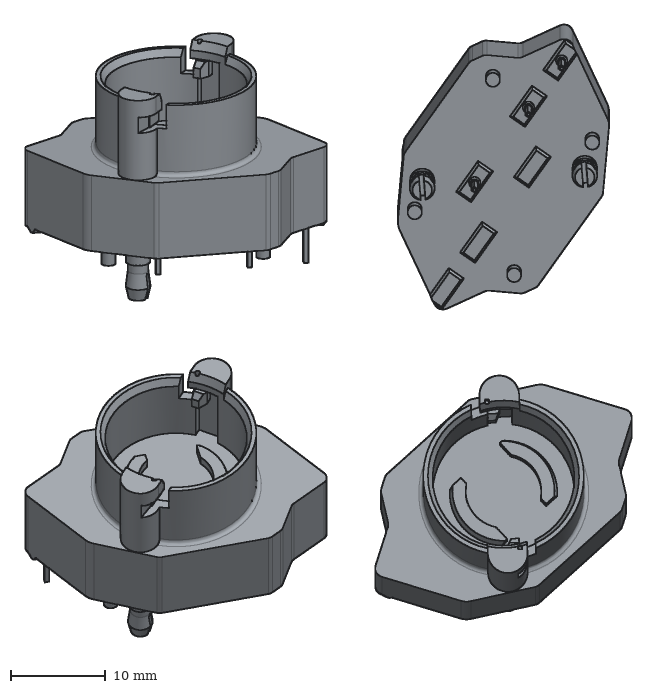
import cadquery as cq
import math

BODY_TOP = 8.62
RING_TOP = 16.68
TOWER_TOP = 17.68
WINDOW_BOTTOM = 13.98
WINDOW_TOP = 15.75
PAD_DEPTH = 0.5
FOOT_DEPTH = 1.85
PIN_DEPTH = 4.92
PEG_DEPTH = 5.52

HALF_SIZE = 12.5
LOBE_X = 10.6
WING_LOW_Y = 1.88
WING_HIGH_Y = 3.58
STEEP_RUN = 6.05
LOBE_RADIUS = 1.0
CORNER_RADIUS = 1.0
END_RADIUS = 2.0

BORE_RADIUS = 7.5
RIM_RADIUS = 8.0
RING_RADIUS = 8.5
LEAD_IN = 0.85
BASE_FILLET = 0.5

TOWER_ANGLE = 110.3
TOWER_DISTANCE = 8.62
TOWER_RADIUS = 2.1
TOWER_LEAD_IN = 1.0
GAP_EDGE = 3.02
MARK_DIAMETER = 0.5
MARK_RADIUS = 8.1
MARK_ANGLE = 9.5
MARK_DEPTH = 0.75

HOOK_TIP = 6.45
HOOK_BREAK = 7.05
HOOK_ROOT = 8.5
HOOK_SIDE = 1.3
HOOK_TIP_SIDE = 0.48
HOOK_TIP_HEIGHT = 1.12
POCKET_BACK = 8.25
WINDOW_LEAN = 6.0

RIB_INNER = 4.0
RIB_BASE = 5.7
RIB_CROWN = 5.4
RIB_HEIGHT = 1.0
RIB_HALF_LENGTH = 4.1
RIB_LEFT_START = 3.25
RIB_RIGHT_START = 2.35

FRAME_ANGLE = 60.0
PAD_DRAFT = 27.0
PAD_LENGTH = 4.05
PAD_WIDTH = 1.95
FOOT_DIAMETER = 1.5
FOOT_POINTS = [(10.0, 3.4), (0.55, -10.1)]
PEG_COLLAR = 2.6
PEG_NECK = 2.2
PEG_BARB = 2.65
PEG_TIP = 2.05
COLLAR_DEPTH = 1.42
NECK_DEPTH = 2.42
BARB_DEPTH = 4.18
SLOT_WIDTH = 0.5
SLOT_DEPTH = 2.65
PIN_SIDE = 0.5
PIN_CHAMFER = 0.1
CONTACT_OFFSET = 2.05
CONTACT_PLACES = [-2.4, 7.5, 13.6]
PIN_COLLAR = 1.2
PIN_COLLAR_TAPER = 0.2


def turned(shape, angle):
    return shape.rotate((0, 0, 0), (0, 0, 1), angle)


def both_sides(shape):
    """The shape together with its copy half a turn around the part's axis."""
    return shape.union(turned(shape, 180))


def at_towers(shape):
    """The shape turned into place at both towers."""
    return both_sides(turned(shape, TOWER_ANGLE))


def round_bar(diameter, depth):
    """A cylinder hanging down from the body's underside."""
    return cq.Workplane("XY").circle(diameter / 2).extrude(-depth)


def frustum(low_radius, high_radius, low, high):
    """A cone stump around the part's axis."""
    profile = [(0, low), (low_radius, low), (high_radius, high), (0, high)]
    return cq.Workplane("XZ").polyline(profile).close().revolve(360, (0, 0), (0, 1))


def block(x_min, x_max, y_min, y_max, z_min, z_max):
    size = (x_max - x_min, y_max - y_min, z_max - z_min)
    return cq.Workplane("XY").box(*size, centered=False).translate((x_min, y_min, z_min))


def prism(points, z_min, z_max):
    return cq.Workplane("XY", origin=(0, 0, z_min)).polyline(points).close().extrude(z_max - z_min)


rise = math.tan(math.radians(60))
notch_y = WING_HIGH_Y + (HALF_SIZE - LOBE_X) * rise
knee = (HALF_SIZE - STEEP_RUN, WING_LOW_Y - STEEP_RUN * rise)
end_x = knee[0] - (HALF_SIZE + knee[1]) * rise
half_outline = [
    (LOBE_X, HALF_SIZE),
    (LOBE_X, notch_y),
    (HALF_SIZE, WING_HIGH_Y),
    (HALF_SIZE, WING_LOW_Y),
    knee,
    (end_x, -HALF_SIZE),
]
outline = half_outline + [(-x, -y) for x, y in half_outline]


def rounded_outline(low, high):
    """The body's outline as a solid, with its upright edges rounded."""
    shape = prism(outline, low, high)
    middle = (low + high) / 2
    radii = [LOBE_RADIUS] + 4 * [CORNER_RADIUS] + [END_RADIUS]
    for (x, y), radius in zip(half_outline, radii):
        for sign in (1, -1):
            edge = cq.selectors.NearestToPointSelector((sign * x, sign * y, middle))
            shape = shape.edges("|Z").edges(edge).fillet(radius)
    return shape


def make_ring():
    """Ring with a lead-in at the rim and a hollow fillet at its foot, bore still filled."""
    fillet_mid = BASE_FILLET * (1 - math.sqrt(0.5))
    return (
        cq.Workplane("XZ")
        .moveTo(0, BODY_TOP)
        .lineTo(RING_RADIUS + BASE_FILLET, BODY_TOP)
        .threePointArc(
            (RING_RADIUS + fillet_mid, BODY_TOP + fillet_mid),
            (RING_RADIUS, BODY_TOP + BASE_FILLET),
        )
        .lineTo(RING_RADIUS, RING_TOP)
        .lineTo(RIM_RADIUS, RING_TOP)
        .lineTo(BORE_RADIUS, RING_TOP - LEAD_IN)
        .lineTo(0, RING_TOP - LEAD_IN)
        .close()
        .revolve(360, (0, 0), (0, 1))
    )


def make_gap():
    """Break in the ring's wall beside a tower."""
    return block(0, RING_RADIUS + BASE_FILLET, TOWER_RADIUS, GAP_EDGE, WINDOW_BOTTOM, RING_TOP)


def make_hook():
    """Latch hook that pokes into the bore, with a sloping nose."""
    plan = [
        (HOOK_TIP, HOOK_SIDE),
        (HOOK_ROOT, HOOK_SIDE),
        (HOOK_ROOT, 0),
        (BORE_RADIUS, 0),
        (HOOK_TIP, HOOK_TIP_SIDE),
    ]
    nose_bottom = WINDOW_BOTTOM + HOOK_TIP_HEIGHT
    profile = [(HOOK_TIP, nose_bottom), (HOOK_BREAK, WINDOW_TOP), (HOOK_TIP, WINDOW_TOP)]
    nose_cut = cq.Workplane("XZ").polyline(profile).close().extrude(-HOOK_SIDE)
    return prism(plan, WINDOW_BOTTOM, WINDOW_TOP).cut(nose_cut)


def make_tower():
    """Round-backed tower with a lead-in and a marking hole, reaching in over the unbored ring."""
    height = TOWER_TOP - BODY_TOP
    tower = block(0, TOWER_DISTANCE, -TOWER_RADIUS, TOWER_RADIUS, BODY_TOP, TOWER_TOP)
    back = cq.Workplane("XY", origin=(TOWER_DISTANCE, 0, BODY_TOP)).circle(TOWER_RADIUS).extrude(height)
    lead_in = frustum(BORE_RADIUS, RIM_RADIUS, TOWER_TOP - TOWER_LEAD_IN, TOWER_TOP)
    angle = math.radians(MARK_ANGLE)
    mark = (
        cq.Workplane("XY", origin=(0, 0, TOWER_TOP))
        .center(MARK_RADIUS * math.cos(angle), MARK_RADIUS * math.sin(angle))
        .circle(MARK_DIAMETER / 2)
        .extrude(-MARK_DEPTH)
    )
    return tower.union(back).cut(lead_in).cut(mark)


def make_window():
    """Opening from the gap side of a tower; its back wall slopes along the tower."""
    outside = TOWER_DISTANCE + TOWER_RADIUS
    lean_side = HOOK_SIDE - (outside - BORE_RADIUS) * math.tan(math.radians(WINDOW_LEAN))
    plan = [
        (outside, lean_side),
        (BORE_RADIUS, HOOK_SIDE),
        (HOOK_TIP, HOOK_SIDE),
        (HOOK_TIP, TOWER_RADIUS),
        (outside, TOWER_RADIUS),
    ]
    return prism(plan, WINDOW_BOTTOM, WINDOW_TOP)


def make_pocket():
    """Recess in the bore wall around and below a latch hook."""
    return block(HOOK_TIP, POCKET_BACK, -HOOK_SIDE, HOOK_SIDE, BODY_TOP, WINDOW_TOP)


def make_rib():
    """Crescent on the ring floor; its bow points along +X before turning."""
    top = BODY_TOP + RIB_HEIGHT
    crescent = frustum(RIB_BASE, RIB_CROWN, BODY_TOP, top)
    crescent = crescent.cut(frustum(RIB_INNER, RIB_INNER, BODY_TOP, top))
    left = block(RIB_LEFT_START, RIB_BASE, 0, RIB_HALF_LENGTH, BODY_TOP, top)
    right = block(RIB_RIGHT_START, RIB_BASE, -RIB_HALF_LENGTH, 0, BODY_TOP, top)
    return turned(crescent.intersect(left.union(right)), FRAME_ANGLE)


def make_pad(place):
    """Drafted standoff pad around one contact, kept inside the body outline."""
    pad = (
        cq.Workplane("XY", origin=(place, -CONTACT_OFFSET, 0))
        .rect(PAD_LENGTH, PAD_WIDTH)
        .extrude(-PAD_DEPTH, taper=PAD_DRAFT)
    )
    return turned(pad, FRAME_ANGLE).intersect(rounded_outline(-PAD_DEPTH, 0))


def make_peg():
    """Split snap peg below a tower."""
    profile = [
        (0, 0),
        (PEG_COLLAR / 2, 0),
        (PEG_COLLAR / 2, -COLLAR_DEPTH),
        (PEG_NECK / 2, -COLLAR_DEPTH),
        (PEG_NECK / 2, -NECK_DEPTH),
        (PEG_BARB / 2, -BARB_DEPTH),
        (PEG_TIP / 2, -PEG_DEPTH),
        (0, -PEG_DEPTH),
    ]
    peg = cq.Workplane("XZ").polyline(profile).close().revolve(360, (0, 0), (0, 1))
    arch_level = -SLOT_DEPTH - SLOT_WIDTH / 2
    half_length = PEG_BARB / 2
    slot = block(-SLOT_WIDTH / 2, SLOT_WIDTH / 2, -half_length, half_length, -PEG_DEPTH, arch_level)
    arch = (
        cq.Workplane("XZ", origin=(0, 0, arch_level))
        .circle(SLOT_WIDTH / 2)
        .extrude(half_length, both=True)
    )
    peg = peg.cut(slot.union(arch))
    return peg.translate((TOWER_DISTANCE, 0, 0))


def make_contact(place):
    """Square contact pin with a small tapered collar."""
    pin = cq.Workplane("XY").rect(PIN_SIDE, PIN_SIDE).extrude(-PIN_DEPTH)
    pin = pin.faces("<Z").chamfer(PIN_CHAMFER)
    collar = round_bar(PIN_COLLAR, PAD_DEPTH + PIN_COLLAR_TAPER)
    collar = collar.faces("<Z").chamfer(PIN_COLLAR_TAPER)
    contact = pin.union(collar).translate((place, -CONTACT_OFFSET, 0))
    return turned(contact, FRAME_ANGLE)


socket = make_ring().cut(at_towers(make_gap()))
socket = socket.union(at_towers(make_tower()))
socket = socket.cut(frustum(BORE_RADIUS, BORE_RADIUS, BODY_TOP, TOWER_TOP))
socket = socket.cut(at_towers(make_window())).cut(at_towers(make_pocket()))
socket = socket.union(at_towers(make_hook()))

result = rounded_outline(0, BODY_TOP).union(socket)
result = result.union(both_sides(make_rib()))
result = result.union(at_towers(make_peg()))
for x, y in FOOT_POINTS:
    result = result.union(both_sides(round_bar(FOOT_DIAMETER, FOOT_DEPTH).translate((x, y, 0))))
for place in CONTACT_PLACES:
    result = result.union(both_sides(make_pad(place)))
    result = result.union(make_contact(place))